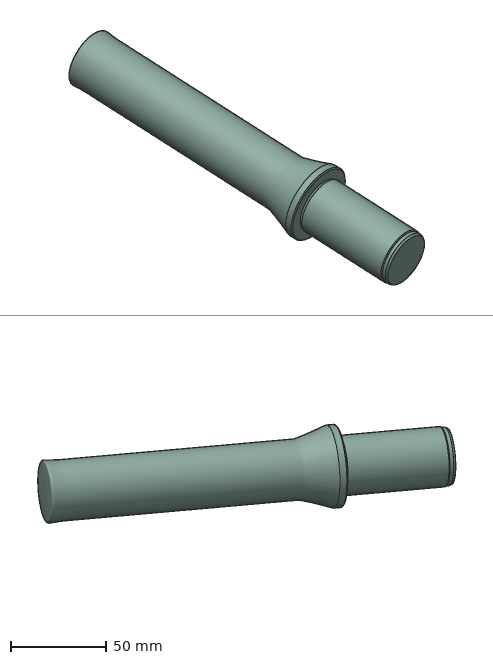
import cadquery as cq
import math

LENGTH = 219.0

grip_radius = 32.5 / 2
collar_radius = 44.0 / 2
collar_face_x = 159.0
collar_chamfer = 0.7
collar_edge_x = 153.3
collar_edge_length = 1.3
collar_edge_rise = 0.5
flare_start_x = 136.7
flare_sag = 0.2
flare_blend = 4.4
head_taper = math.radians(4)
head_taper_end_x = 7.9
head_blend_end_x = 9.2
head_rim_radius = 1.0
dome_flat_radius = 7.9
dome_cone_radius = 9.0
dome_slope = math.radians(3)

shank_radius = 32.0 / 2
tip_radius = 31.0 / 2
shank_entry_length = 1.5
shank_entry_depth = 0.7
shank_end_chamfer = 0.7
tip_length = 3.3
tip_chamfer_length = 1.3
tip_chamfer_depth = 0.7


def revolve_about_x(profile):
    """Turn a closed half profile, drawn in the XY plane, about the X axis."""
    return profile.close().revolve(360, (0, 0, 0), (1, 0, 0))


def circle_edge(x, radius):
    """Selector for the circular edge of the given radius at the given x."""
    margin = 0.1
    return cq.selectors.BoxSelector(
        (x - margin, -radius - margin, -radius - margin),
        (x + margin, radius + margin, radius + margin),
        boundingbox=True,
    )


def make_handle():
    flare_top_radius = collar_radius - collar_edge_rise
    flare_middle = (
        (flare_start_x + collar_edge_x) / 2,
        (grip_radius + flare_top_radius) / 2 - flare_sag,
    )
    taper_end_radius = grip_radius + (head_blend_end_x - head_taper_end_x) * math.tan(head_taper / 2)
    head_radius = taper_end_radius + head_taper_end_x * math.tan(head_taper)
    blend_setback = (dome_cone_radius - dome_flat_radius) * math.tan(dome_slope / 2)
    rim_setback = blend_setback + (head_radius - dome_cone_radius) * math.tan(dome_slope)
    profile = (
        cq.Workplane("XY")
        .moveTo(0, 0)
        .lineTo(0, dome_flat_radius)
        .tangentArcPoint((blend_setback, dome_cone_radius), relative=False)
        .lineTo(rim_setback, head_radius)
        .lineTo(head_taper_end_x, taper_end_radius)
        .tangentArcPoint((head_blend_end_x, grip_radius), relative=False)
        .lineTo(flare_start_x, grip_radius)
        .threePointArc(flare_middle, (collar_edge_x, flare_top_radius))
        .lineTo(collar_edge_x + collar_edge_length, collar_radius)
        .lineTo(collar_face_x - collar_chamfer, collar_radius)
        .lineTo(collar_face_x, collar_radius - collar_chamfer)
        .lineTo(collar_face_x, 0)
    )
    handle = revolve_about_x(profile)
    handle = handle.edges(circle_edge(flare_start_x, grip_radius)).fillet(flare_blend)
    return handle.edges(circle_edge(rim_setback, head_radius)).fillet(head_rim_radius)


def make_shank():
    tip_start_x = LENGTH - tip_length
    profile = (
        cq.Workplane("XY")
        .moveTo(collar_face_x, 0)
        .lineTo(collar_face_x, shank_radius - shank_entry_depth)
        .lineTo(collar_face_x + shank_entry_length, shank_radius)
        .lineTo(tip_start_x - shank_end_chamfer, shank_radius)
        .lineTo(tip_start_x, tip_radius)
        .lineTo(LENGTH - tip_chamfer_length, tip_radius)
        .lineTo(LENGTH, tip_radius - tip_chamfer_depth)
        .lineTo(LENGTH, 0)
    )
    return revolve_about_x(profile)


handle = make_handle()
shank = make_shank()

result = cq.Compound.makeCompound([handle.val(), shank.val()])